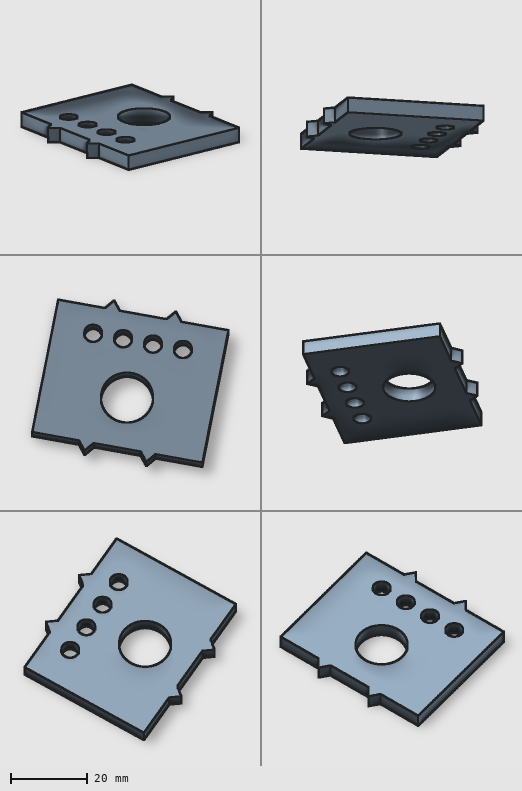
import cadquery as cq

plate_length = 45.5
plate_width = 37.0
thickness = 4.0

tooth_height = 2.5
tooth_base = 4.0
tooth_pitch = 16.5

lens_diameter = 13.7
lens_y = 4.6

hole_diameter = 4.7
hole_pitch = 8.0
hole_count = 4
hole_row_y = -11.1


def make_plate():
    """Rectangular plate centred in X and Y, standing on Z = 0."""
    return cq.Workplane("XY").box(plate_length, plate_width, thickness, centered=(True, True, False))


def make_tooth(x, side):
    """Full-thickness triangular tooth on the +Y (side = 1) or -Y (side = -1) edge."""
    edge_y = side * plate_width / 2
    return (
        cq.Workplane("XY")
        .moveTo(x - tooth_base / 2, edge_y)
        .lineTo(x + tooth_base / 2, edge_y)
        .lineTo(x, edge_y + side * tooth_height)
        .close()
        .extrude(thickness)
    )


def make_hole(x, y, diameter):
    """Cylinder that cuts one through hole."""
    return cq.Workplane("XY").center(x, y).circle(diameter / 2).extrude(thickness)


result = make_plate()

for side in (-1, 1):
    for tooth_x in (-tooth_pitch / 2, tooth_pitch / 2):
        result = result.union(make_tooth(tooth_x, side))

result = result.cut(make_hole(0, lens_y, lens_diameter))

first_hole_x = -hole_pitch * (hole_count - 1) / 2
for index in range(hole_count):
    result = result.cut(make_hole(first_hole_x + index * hole_pitch, hole_row_y, hole_diameter))